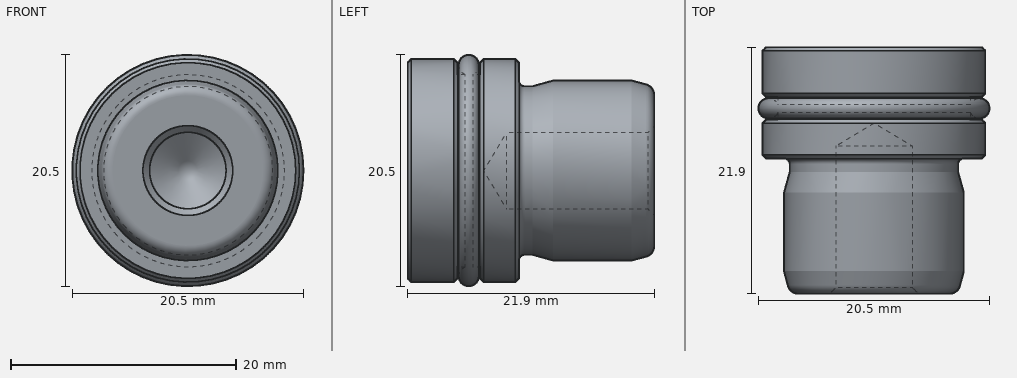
import cadquery as cq
import math

length = 21.9

head_radius = 9.9
head_front = 12.0
edge_chamfer = 0.33
groove_front = 15.48
groove_width = 1.97
groove_floor_radius = 8.55

ring_outer_radius = 10.27
ring_section_radius = 0.9

neck_radius = 7.5
neck_fillet = 0.45
neck_taper_front = 8.98
neck_taper_rear = 10.8
nose_radius = 8.0
nose_taper_rear = 2.01
nose_taper_angle = math.radians(15)
nose_fillet = 1.0

hole_radius = 3.4
hole_mouth_radius = 3.99
hole_depth = 13.15
drill_point_angle = math.radians(118)


def revolve_about_y(profile):
    return profile.close().revolve(360, (0, 0, 0), (0, 1, 0))


def make_body():
    """Nose, neck and head, revolved from one half profile of (radius, y) points."""
    tip_radius = nose_radius - nose_taper_rear * math.tan(nose_taper_angle)
    return revolve_about_y(
        cq.Workplane("XY")
        .lineTo(tip_radius, 0)
        .lineTo(nose_radius, nose_taper_rear)
        .lineTo(nose_radius, neck_taper_front)
        .lineTo(neck_radius, neck_taper_rear)
        .lineTo(neck_radius, head_front - neck_fillet)
        .radiusArc((neck_radius + neck_fillet, head_front), neck_fillet)
        .lineTo(head_radius, head_front)
        .lineTo(head_radius, length)
        .lineTo(0, length)
    ).faces("<Y").edges().fillet(nose_fillet)


def cut_groove(body):
    groove = revolve_about_y(
        cq.Workplane("XY")
        .moveTo(groove_floor_radius, groove_front)
        .lineTo(ring_outer_radius, groove_front)
        .lineTo(ring_outer_radius, groove_front + groove_width)
        .lineTo(groove_floor_radius, groove_front + groove_width)
    )
    return body.cut(groove)


def chamfer_head_edges(body):
    """Chamfer the four outer rims of the two head lands."""
    rims = cq.selectors.RadiusNthSelector(-1)
    return body.edges("%CIRCLE").edges(rims).chamfer(edge_chamfer)


def make_ring():
    ring_centre_radius = ring_outer_radius - ring_section_radius
    return (
        cq.Workplane("XY")
        .center(ring_centre_radius, groove_front + groove_width / 2)
        .circle(ring_section_radius)
        .revolve(360, (-ring_centre_radius, 0), (-ring_centre_radius, 1))
    )


def make_hole():
    """Drilled hole with a 45 degree mouth chamfer and a conical bottom."""
    point_length = hole_radius / math.tan(drill_point_angle / 2)
    return revolve_about_y(
        cq.Workplane("XY")
        .lineTo(hole_mouth_radius, 0)
        .lineTo(hole_radius, hole_mouth_radius - hole_radius)
        .lineTo(hole_radius, hole_depth)
        .lineTo(0, hole_depth + point_length)
    )


body = chamfer_head_edges(cut_groove(make_body()))
result = body.union(make_ring()).cut(make_hole())